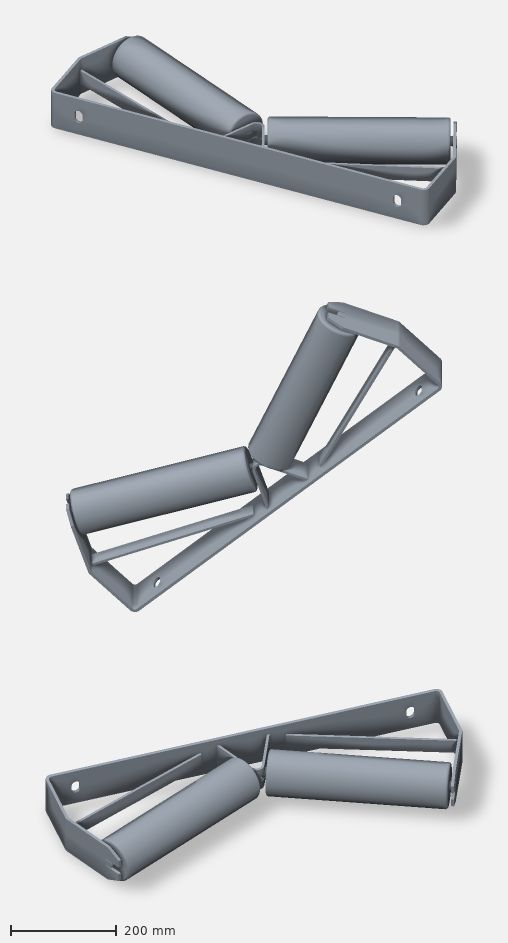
import cadquery as cq
import math

FRAME_LENGTH = 790.0
STRIP_WIDTH = 80.0
STRIP_THICKNESS = 6.0
BEND_RADIUS = 13.0
TILT = 25.0
ARM_TIP = 29.0
TIP_CHAMFER_ALONG = 30.0
TIP_CHAMFER_ACROSS = 15.0
MOUNT_SLOT_SPACING = 667.0
MOUNT_SLOT_WIDTH = 16.5
MOUNT_SLOT_HEIGHT = 27.0

ROLLER_DIAMETER = 89.0
ROLLER_LENGTH = 345.0
ROLLER_EDGE = 5.0
ROLLER_X = 179.0
ROLLER_Y = 156.0
SUPPORT_GAP = 5.5
SHAFT_DIAMETER = 20.0
SHAFT_FLATS = 14.0
SHAFT_SLOT_WIDTH = 16.5

BRACKET_THICKNESS = 5.0
BRACKET_WIDTH = 50.0
BRACKET_BEND_RADIUS = 16.0
BRACKET_SLOT_REACH = 19.0
BRACE_THICKNESS = 5.0
BRACE_WIDTH = 30.0
BRACE_TILT = 21.4
BRACE_END_X = 84.5

SIN = math.sin(math.radians(TILT))
COS = math.cos(math.radians(TILT))
HALF_LENGTH = FRAME_LENGTH / 2
SUPPORT_OFFSET = ROLLER_LENGTH / 2 + SUPPORT_GAP
SHAFT_START = -SUPPORT_OFFSET - BRACKET_THICKNESS
SHAFT_LENGTH = 2 * SUPPORT_OFFSET + BRACKET_THICKNESS + STRIP_THICKNESS
ARM_BEND_Y = ROLLER_Y + (SUPPORT_OFFSET + STRIP_THICKNESS - (HALF_LENGTH - ROLLER_X) * COS) / SIN

ROLLER_PLANE = cq.Plane(origin=(ROLLER_X, ROLLER_Y, 0), xDir=(-SIN, COS, 0), normal=(COS, SIN, 0))


def roller_point(along_arm, along_axis):
    """XY position of a point given in the local system of the right roller."""
    point = ROLLER_PLANE.toWorldCoords((along_arm, 0, along_axis))
    return (point.x, point.y)


def axis_workplane(offset):
    """Workplane square to the roller axis, at a distance from the middle of the roller."""
    return cq.Workplane(ROLLER_PLANE).workplane(offset=offset)


def mirrored(points):
    """The same points on the -X side, in reverse order."""
    return [(-x, y) for x, y in reversed(points)]


def strip_from(outline, width):
    """Plate with the given XY outline, centred on Z = 0."""
    return cq.Workplane("XY").workplane(offset=-width / 2).polyline(outline).close().extrude(width)


def round_bends(strip, corners, radius):
    """Round the upright edge at each XY corner."""
    for x, y in corners:
        strip = strip.edges("|Z").edges(cq.selectors.NearestToPointSelector((x, y, 0))).fillet(radius)
    return strip


def both_sides(tool):
    """The cutter together with its mirror image on the -X side."""
    return tool.union(tool.mirror("YZ"))


def shaft_slot(offset, depth, reach):
    """Cutter for a slot through a support: rounded seat, mouth towards the tip."""
    seat = axis_workplane(offset).circle(SHAFT_DIAMETER / 2).extrude(depth)
    seat_width = axis_workplane(offset).rect(SHAFT_DIAMETER, SHAFT_SLOT_WIDTH).extrude(depth)
    mouth = axis_workplane(offset).center(reach / 2, 0).rect(reach, SHAFT_SLOT_WIDTH).extrude(depth)
    return seat.intersect(seat_width).union(mouth)


def make_frame():
    """Base with upturned walls and leaning arms, notched for the roller shafts."""
    inner_bend_y = ARM_BEND_Y - STRIP_THICKNESS * math.tan(math.radians(TILT / 2))
    inner_x = HALF_LENGTH - STRIP_THICKNESS
    outer_bends = [(HALF_LENGTH, 0), (HALF_LENGTH, ARM_BEND_Y)]
    inner_bends = [(inner_x, inner_bend_y), (inner_x, STRIP_THICKNESS)]
    tip = [
        roller_point(ARM_TIP, SUPPORT_OFFSET + STRIP_THICKNESS),
        roller_point(ARM_TIP, SUPPORT_OFFSET),
    ]
    right = outer_bends + tip + inner_bends
    frame = strip_from(right + mirrored(right), STRIP_WIDTH)
    frame = round_bends(frame, outer_bends + mirrored(outer_bends), BEND_RADIUS)
    frame = round_bends(frame, inner_bends + mirrored(inner_bends), BEND_RADIUS - STRIP_THICKNESS)

    half_width = STRIP_WIDTH / 2
    for end in (-1, 1):
        triangle = [
            (ARM_TIP, end * half_width),
            (ARM_TIP - TIP_CHAMFER_ALONG, end * half_width),
            (ARM_TIP, end * (half_width - TIP_CHAMFER_ACROSS)),
        ]
        corner = axis_workplane(SUPPORT_OFFSET).polyline(triangle).close().extrude(STRIP_THICKNESS)
        frame = frame.cut(both_sides(corner))
    frame = frame.cut(both_sides(shaft_slot(SUPPORT_OFFSET, STRIP_THICKNESS, ARM_TIP)))

    mount_slots = (
        cq.Workplane("XZ")
        .pushPoints([(-MOUNT_SLOT_SPACING / 2, 0), (MOUNT_SLOT_SPACING / 2, 0)])
        .slot2D(MOUNT_SLOT_HEIGHT, MOUNT_SLOT_WIDTH, 90).extrude(-STRIP_THICKNESS)
    )
    return frame.cut(mount_slots)


def make_centre_bracket():
    """Inverted V standing on the base, holding the inner ends of both shafts."""
    foot_x = ROLLER_X - (SUPPORT_OFFSET + (STRIP_THICKNESS - ROLLER_Y) * SIN) / COS
    foot_inner_x = foot_x - BRACKET_THICKNESS / COS
    outer_peak = (0, STRIP_THICKNESS + foot_x * COS / SIN)
    inner_peak = (0, STRIP_THICKNESS + foot_inner_x * COS / SIN)
    outline = [
        (foot_x, STRIP_THICKNESS),
        outer_peak,
        (-foot_x, STRIP_THICKNESS),
        (-foot_inner_x, STRIP_THICKNESS),
        inner_peak,
        (foot_inner_x, STRIP_THICKNESS),
    ]
    bracket = strip_from(outline, BRACKET_WIDTH)
    bracket = round_bends(bracket, [outer_peak], BRACKET_BEND_RADIUS)
    bracket = round_bends(bracket, [inner_peak], BRACKET_BEND_RADIUS - BRACKET_THICKNESS)
    slot_depth = 2 * BRACKET_THICKNESS
    slots = both_sides(shaft_slot(-SUPPORT_OFFSET - slot_depth, slot_depth, BRACKET_SLOT_REACH))
    return bracket.cut(slots)


def make_brace(frame):
    """Diagonal strip from the frame bend down to the base, its low end cut off upright."""
    wall_x = HALF_LENGTH - STRIP_THICKNESS
    top_y = ARM_BEND_Y
    slope = math.tan(math.radians(BRACE_TILT))
    low_y = top_y - BRACE_THICKNESS / math.cos(math.radians(BRACE_TILT))
    outline = [
        (wall_x, top_y),
        (wall_x, low_y),
        (wall_x - (low_y - STRIP_THICKNESS) / slope, STRIP_THICKNESS),
        (BRACE_END_X, STRIP_THICKNESS),
        (BRACE_END_X, top_y - (wall_x - BRACE_END_X) * slope),
    ]
    return strip_from(outline, BRACE_WIDTH).cut(frame)


def make_roller():
    """Right roller: a drum with rounded ends on a shaft with two flats."""
    drum = axis_workplane(-ROLLER_LENGTH / 2).circle(ROLLER_DIAMETER / 2).extrude(ROLLER_LENGTH)
    drum = drum.edges("%CIRCLE").fillet(ROLLER_EDGE)
    shaft = axis_workplane(SHAFT_START).circle(SHAFT_DIAMETER / 2).extrude(SHAFT_LENGTH)
    flats = axis_workplane(SHAFT_START).rect(SHAFT_DIAMETER, SHAFT_FLATS).extrude(SHAFT_LENGTH)
    return drum.union(shaft.intersect(flats))


frame = make_frame()
bracket = make_centre_bracket()
rollers = []
braces = []
for right_body, copies in ((make_roller(), rollers), (make_brace(frame), braces)):
    copies.append(right_body.val().Solids()[0])
    copies.append(right_body.mirror("YZ").val().Solids()[0])

result = cq.Compound.makeCompound([frame.val(), bracket.val(), *rollers, *braces])